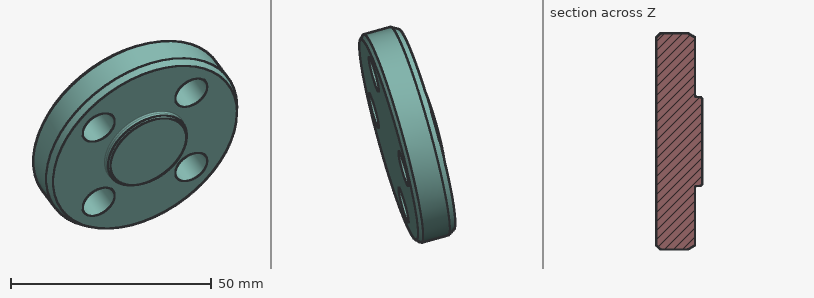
import cadquery as cq
import math

disc_diameter = 54.0
total_length = 11.5
boss_length = 1.8
disc_thickness = total_length - boss_length
back_chamfer = 1.0
front_bevel_depth = back_chamfer
front_bevel_angle = 30.0
front_bevel_length = front_bevel_depth / math.tan(math.radians(front_bevel_angle))

boss_diameter = 22.3
boss_chamfer = 0.5
root_fillet = 0.3

hole_diameter = 9.0
bolt_circle_diameter = 37.0
hole_count = 4
first_hole_angle = 45.0


def turned_body():
    """Revolve the half profile (axial position, radius) about the X axis."""
    disc_radius = disc_diameter / 2
    boss_radius = boss_diameter / 2
    fillet_end = (disc_thickness + root_fillet, boss_radius)
    profile = (
        cq.Workplane("XY")
        .lineTo(0, disc_radius - back_chamfer)
        .lineTo(back_chamfer, disc_radius)
        .lineTo(disc_thickness - front_bevel_length, disc_radius)
        .lineTo(disc_thickness, disc_radius - front_bevel_depth)
        .lineTo(disc_thickness, boss_radius + root_fillet)
        .radiusArc(fillet_end, -root_fillet)
        .lineTo(total_length - boss_chamfer, boss_radius)
        .lineTo(total_length, boss_radius - boss_chamfer)
        .lineTo(total_length, 0)
        .close()
    )
    return profile.revolve(360, (0, 0, 0), (1, 0, 0))


def bolt_holes():
    """Cylinders equally spaced on the bolt circle, through the disc."""
    centres = []
    for index in range(hole_count):
        angle = math.radians(first_hole_angle + index * 360 / hole_count)
        y = bolt_circle_diameter / 2 * math.cos(angle)
        z = bolt_circle_diameter / 2 * math.sin(angle)
        centres.append((y, z))
    return cq.Workplane("YZ").pushPoints(centres).circle(hole_diameter / 2).extrude(total_length)


result = turned_body().cut(bolt_holes())